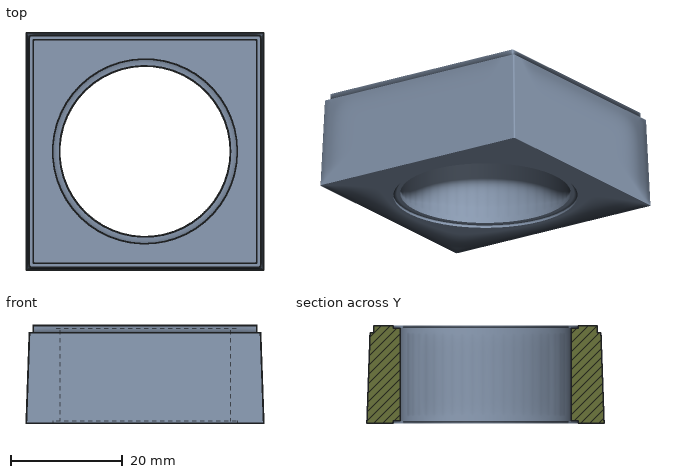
import cadquery as cq

base_side = 42.5
body_top_side = 41.35
overall_height = 17.5
body_corner_radius = 0.25

lip_side = 40.0
lip_height = 1.28
lip_corner_radius = 0.25

bore_diameter = 30.5
counterbore_diameter = 33.02
counterbore_depth = 0.45

body_height = overall_height - lip_height


def rounded_square(side, radius):
    return cq.Sketch().rect(side, side).vertices().fillet(radius)


def make_body():
    """Square frustum with rounded corners, standing on Z = 0."""
    bottom = rounded_square(base_side, body_corner_radius)
    top = rounded_square(body_top_side, body_corner_radius)
    top_location = cq.Location(cq.Vector(0, 0, body_height))
    return cq.Workplane("XY").placeSketch(bottom, top.moved(top_location)).loft()


def make_lip():
    """Straight-sided square step on the body's top face."""
    profile = rounded_square(lip_side, lip_corner_radius)
    return cq.Workplane("XY", origin=(0, 0, body_height)).placeSketch(profile).extrude(lip_height)


def make_bore():
    """Through bore with an equal counterbore at each end."""
    bore = cq.Workplane("XY").circle(bore_diameter / 2).extrude(overall_height)
    for start_height in (0, overall_height - counterbore_depth):
        counterbore = (
            cq.Workplane("XY", origin=(0, 0, start_height))
            .circle(counterbore_diameter / 2)
            .extrude(counterbore_depth)
        )
        bore = bore.union(counterbore)
    return bore


result = make_body().union(make_lip()).cut(make_bore())